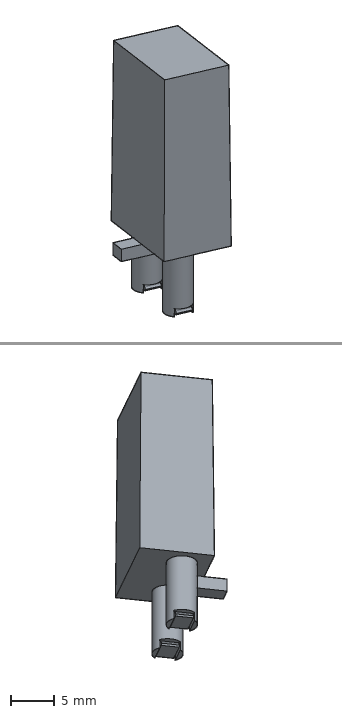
import cadquery as cq

total_height = 31.2
base_width = 12.8
base_depth = 8.9
top_width = 12.35
top_depth = 8.5

pin_length = 8.08
pin_diameter = 3.62
pin_spacing = 7.5
pin_y = -1.15
slot_width = 2.43
slot_height = 1.05

contact_width = 2.12
contact_root_half = 1.05
contact_shoulder_half = 1.37
contact_tip_half = 1.55
contact_bottom_half = 1.45
contact_shoulder_z = 0.75
contact_tip_z = 0.5
contact_bottom_z = 0.28
contact_overlap = 0.15

tab_width = 2.05
tab_height = 1.6
tab_reach = 2.7


def make_housing():
    """Tapered block, narrower at the top."""
    return (
        cq.Workplane("XY", origin=(0, 0, pin_length))
        .rect(base_width, base_depth)
        .workplane(offset=total_height - pin_length)
        .rect(top_width, top_depth)
        .loft(ruled=True)
    )


def make_contact():
    """Wedge with a blunt-pointed nose at both ends, extruded across the slot."""
    right_side = [
        (contact_root_half, slot_height + contact_overlap),
        (contact_root_half, slot_height),
        (contact_shoulder_half, contact_shoulder_z),
        (contact_tip_half, contact_tip_z),
        (contact_bottom_half, contact_bottom_z),
    ]
    left_side = [(-x, z) for x, z in reversed(right_side)]
    return (
        cq.Workplane("XZ")
        .polyline(right_side + left_side)
        .close()
        .extrude(contact_width / 2, both=True)
    )


def make_pin():
    """Round post with a slot across its end, holding one contact."""
    post = cq.Workplane("XY").circle(pin_diameter / 2).extrude(pin_length)
    slot = cq.Workplane("XY").box(
        pin_diameter, slot_width, slot_height, centered=(True, True, False)
    )
    return post.cut(slot).union(make_contact())


def make_tab():
    """Bar flush with the housing underside, from the pin row out past the front face."""
    front_y = -base_depth / 2 - tab_reach
    return (
        cq.Workplane("XY", origin=(0, front_y, pin_length - tab_height))
        .box(tab_width, pin_y - front_y, tab_height, centered=(True, False, False))
    )


result = make_housing().union(make_tab())
for side in (-1, 1):
    result = result.union(make_pin().translate((side * pin_spacing / 2, pin_y, 0)))